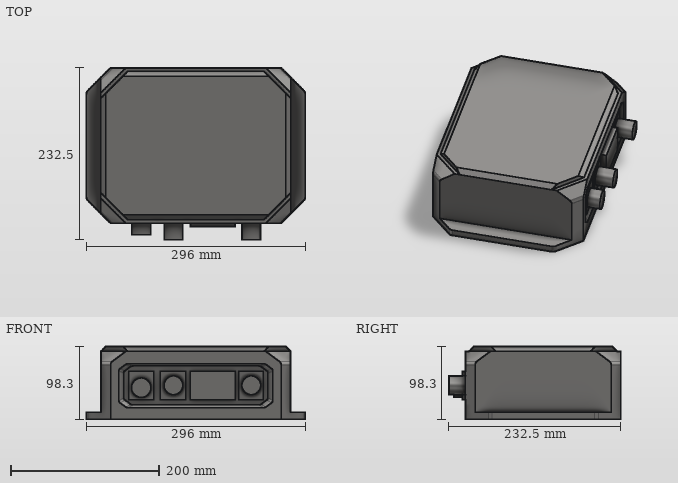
import cadquery as cq
import math


flange_length = 296.0
flange_thickness = 9.5
housing_width = 256.3
housing_depth = 210.0
housing_height = 91.8

corner_cut = 33.0
bevel_height = 15.5
bevel_setback = 20.7
corner_radius = 7.0

lid_depth = 200.0
lid_height = 6.5
lid_slope_angle = 45
lid_corner_cut = 36.0

recess_depth = 6.5
recess_corner_run, recess_corner_rise = 10.5, 7.7
recess_corner_radius = 5.0
mouth_half_width, mouth_bottom, mouth_top = 104.0, 15.7, 75.0
floor_half_width, floor_bottom, floor_top = 97.5, 19.5, 72.0

pad_bottom, pad_top = 26.0, 64.5
pad_height = 4.5
block_reach = 4.5
block_height = recess_depth + block_reach
pads = [
    (-91.0, 34.3, pad_height),
    (-48.0, 34.3, pad_height),
    (-7.5, 60.5, block_height),
    (58.0, 33.2, pad_height),
]

connectors = [
    (-73.7, 42.5, 26.3, 15.7),
    (-30.2, 46.0, 25.5, 22.5),
    (75.0, 46.0, 25.5, 22.5),
]

front_y = -housing_depth / 2
recess_floor_y = front_y + recess_depth


def box_on(base_z, width, depth, height):
    """Box centred in X and Y, standing on base_z."""
    return cq.Workplane("XY", origin=(0, 0, base_z)).box(width, depth, height, centered=(True, True, False))


def facing_front(y):
    """Workplane at the given Y whose normal points out of the front; local axes are X and Z."""
    return cq.Workplane("XZ", origin=(0, y, 0))


def diagonal_envelope(angle):
    """Long prism that trims two opposite corners to the upright cut and the bevel above it."""
    half_width = (flange_length / 2 + housing_depth / 2 - corner_cut) / math.sqrt(2)
    half_top = half_width - bevel_setback / math.sqrt(2)
    bevel_start = housing_height - bevel_height
    profile = [
        (-half_width, 0),
        (half_width, 0),
        (half_width, bevel_start),
        (half_top, housing_height),
        (-half_top, housing_height),
        (-half_width, bevel_start),
    ]
    prism = cq.Workplane("XZ").polyline(profile).close().extrude(flange_length, both=True)
    bevel_edges = prism.edges("|Y").edges(">X or <X").edges(">Z")
    return bevel_edges.fillet(corner_radius).rotate((0, 0, 0), (0, 0, 1), angle)


def make_housing():
    body = box_on(0, flange_length, housing_depth, flange_thickness)
    body = body.union(box_on(0, housing_width, housing_depth, housing_height))
    for angle in (45, -45):
        body = body.intersect(diagonal_envelope(angle))
    return body.edges("|Z").edges(">X or <X").fillet(corner_radius)


def make_lid():
    base = cq.Workplane("XY", origin=(0, 0, housing_height)).rect(housing_width, lid_depth)
    sloped = base.extrude(lid_height, taper=lid_slope_angle)
    outline = box_on(housing_height, housing_width, lid_depth, lid_height)
    return sloped.intersect(outline.edges("|Z").chamfer(lid_corner_cut))


def recess_outline(half_width, bottom, top):
    """Points of a rectangle with its four corners cut off."""
    inner = half_width - recess_corner_run
    return [
        (-inner, bottom),
        (inner, bottom),
        (half_width, bottom + recess_corner_rise),
        (half_width, top - recess_corner_rise),
        (inner, top),
        (-inner, top),
        (-half_width, top - recess_corner_rise),
        (-half_width, bottom + recess_corner_rise),
    ]


def make_recess():
    floor = recess_outline(floor_half_width, floor_bottom, floor_top)
    mouth = recess_outline(mouth_half_width, mouth_bottom, mouth_top)
    recess = (
        facing_front(recess_floor_y)
        .polyline(floor).close()
        .workplane(offset=recess_depth)
        .polyline(mouth).close()
        .loft(ruled=True)
    )
    return recess.edges("not #Y").fillet(recess_corner_radius)


def make_pad(left, width, height):
    outline = facing_front(recess_floor_y).moveTo(left + width / 2, (pad_bottom + pad_top) / 2)
    return outline.rect(width, pad_top - pad_bottom).extrude(height)


def make_connector(x, z, diameter, reach):
    return facing_front(recess_floor_y).center(x, z).circle(diameter / 2).extrude(recess_depth + reach)


result = make_housing().union(make_lid()).cut(make_recess())
for pad in pads:
    result = result.union(make_pad(*pad))
for connector in connectors:
    result = result.union(make_connector(*connector))